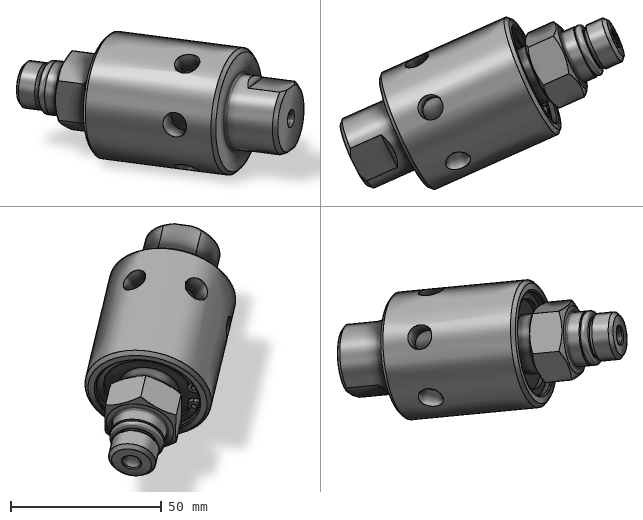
import cadquery as cq
import math

TOTAL_LENGTH = 96.1

BORE_DIA = 6.0
BORE_MOUTH_DIA = 6.8
THREAD_DIA = 16.0
THREAD_CHAMFER = 1.25
THREAD_END = 8.5
RELIEF_DIA = 13.2
COLLAR_DIA = 18.3
COLLAR_START = 11.15
SEAL_SECTION_DIA = 2.6

HEX_START = 15.9
HEX_END = 28.0
HEX_FLATS = 23.9
HEX_FACE_DIA = 22.8
HEX_CHAMFER_ANGLE = 30.0
SHANK_DIA = 20.0
HEX_COVE_RADIUS = 0.5

BARREL_DIA = 42.8
BARREL_START = 29.7
BARREL_END = 77.5
BARREL_CHAMFER = 1.25

RECESS_DIA = 35.1
RECESS_CHAMFER = 0.5
GROOVE_DIA = 37.2
RING_THICKNESS = 1.5
RECESS_FLOOR = 33.4
RING_START = RECESS_FLOOR - RING_THICKNESS
RING_INNER_DIA = 30.5
RING_GAP = 4.7
LUG_RADIUS = 2.3
LUG_OFFSET = 15.4
LUG_HOLE_DIA = 2.0

RADIAL_HOLE_DIA = 8.5
RADIAL_HOLE_X = 63.15
RADIAL_HOLE_COUNT = 6
RADIAL_HOLE_FLOOR_DIA = 28.1

NECK_DIA = 25.4
NECK_COVE_RADIUS = 0.9
NECK_CHAMFER = 1.3
FLATS_WIDTH = 21.9
FLATS_START = 83.4


def cylinder(diameter, start, end):
    """Solid cylinder on the X axis from x = start to x = end."""
    return cq.Workplane("YZ", origin=(start, 0, 0)).circle(diameter / 2).extrude(end - start)


def cone(start_dia, end_dia, start, end):
    """Solid truncated cone on the X axis."""
    return (
        cq.Workplane("YZ", origin=(start, 0, 0))
        .circle(start_dia / 2)
        .workplane(offset=end - start)
        .circle(end_dia / 2)
        .loft()
    )


def cove(face_x, diameter, radius, direction):
    """Concave fillet around a cylinder where it leaves a face, toward +X or -X (direction 1 or -1)."""
    tangent_x = face_x + direction * radius
    surface = diameter / 2
    return (
        cq.Workplane("XY")
        .moveTo(face_x, 0)
        .lineTo(face_x, surface + radius)
        .radiusArc((tangent_x, surface), -direction * radius)
        .lineTo(tangent_x, 0)
        .close()
        .revolve(360, (0, 0, 0), (1, 0, 0))
    )


def make_threaded_end():
    rear_chamfer = (THREAD_DIA - RELIEF_DIA) / 2
    thread = cylinder(THREAD_DIA, 0, THREAD_END)
    thread = thread.faces("<X").chamfer(THREAD_CHAMFER)
    thread = thread.faces(">X").chamfer(rear_chamfer)
    relief = cylinder(RELIEF_DIA, THREAD_END, COLLAR_START)
    collar = cylinder(COLLAR_DIA, COLLAR_START, HEX_START)
    return thread.union(relief).union(collar)


def make_seal_ring():
    """Round bead in the relief, flush with the collar and resting on its face."""
    section_radius = SEAL_SECTION_DIA / 2
    return (
        cq.Workplane("XY")
        .moveTo(COLLAR_START - section_radius, COLLAR_DIA / 2 - section_radius)
        .circle(section_radius)
        .revolve(360, (0, 0, 0), (1, 0, 0))
    )


def make_hexagon():
    """Hexagon with corners on +-Z, its corners turned off by a cone at both ends."""
    corner_dia = HEX_FLATS / math.cos(math.pi / 6)
    length = HEX_END - HEX_START
    prism = (
        cq.Workplane("YZ", origin=(HEX_START, 0, 0))
        .transformed(rotate=(0, 0, 90))
        .polygon(6, corner_dia)
        .extrude(length)
    )
    radial = (corner_dia - HEX_FACE_DIA) / 2
    axial = radial * math.tan(math.radians(HEX_CHAMFER_ANGLE))
    envelope = (
        cq.Workplane("XY")
        .moveTo(HEX_START, 0)
        .lineTo(HEX_START, HEX_FACE_DIA / 2)
        .lineTo(HEX_START + axial, corner_dia / 2)
        .lineTo(HEX_END - axial, corner_dia / 2)
        .lineTo(HEX_END, HEX_FACE_DIA / 2)
        .lineTo(HEX_END, 0)
        .close()
        .revolve(360, (0, 0, 0), (1, 0, 0))
    )
    return prism.intersect(envelope)


def make_hexagon_coves():
    front = cove(HEX_START, COLLAR_DIA, HEX_COVE_RADIUS, -1)
    rear = cove(HEX_END, SHANK_DIA, HEX_COVE_RADIUS, 1)
    return front.union(rear)


def make_barrel():
    barrel = cylinder(BARREL_DIA, BARREL_START, BARREL_END).faces("<X or >X").chamfer(BARREL_CHAMFER)
    recess = cylinder(RECESS_DIA, BARREL_START, RECESS_FLOOR)
    groove = cylinder(GROOVE_DIA, RING_START, RECESS_FLOOR)
    recess_mouth = cone(
        RECESS_DIA + 2 * RECESS_CHAMFER, RECESS_DIA, BARREL_START, BARREL_START + RECESS_CHAMFER
    )
    return barrel.cut(recess).cut(recess_mouth).cut(groove)


def make_neck():
    neck = cylinder(NECK_DIA, BARREL_END, TOTAL_LENGTH).faces(">X").chamfer(NECK_CHAMFER)
    run_out = NECK_DIA / 2 - FLATS_WIDTH / 2
    for side in (1, -1):
        cutter = (
            cq.Workplane("XZ", origin=(0, NECK_DIA / 2, 0))
            .moveTo(FLATS_START, side * FLATS_WIDTH / 2)
            .lineTo(TOTAL_LENGTH, side * FLATS_WIDTH / 2)
            .lineTo(TOTAL_LENGTH, side * NECK_DIA / 2)
            .lineTo(FLATS_START - run_out, side * NECK_DIA / 2)
            .close()
            .extrude(NECK_DIA)
        )
        neck = neck.cut(cutter)
    return neck


def make_radial_holes():
    """Cutter for the radial holes, which end on a cylinder around the axis."""
    core = cylinder(RADIAL_HOLE_FLOOR_DIA, BARREL_START, BARREL_END)
    hole = (
        cq.Workplane("XZ", origin=(RADIAL_HOLE_X, 0, 0))
        .circle(RADIAL_HOLE_DIA / 2)
        .extrude(BARREL_DIA / 2)
        .cut(core)
    )
    holes = cq.Workplane("XY")
    for index in range(RADIAL_HOLE_COUNT):
        angle = index * 360 / RADIAL_HOLE_COUNT
        holes = holes.add(hole.rotate((0, 0, 0), (1, 0, 0), angle))
    return holes.combine()


def make_bore():
    mouth_depth = (BORE_MOUTH_DIA - BORE_DIA) / 2
    mouth = cone(BORE_MOUTH_DIA, BORE_DIA, 0, mouth_depth)
    return cylinder(BORE_DIA, 0, TOTAL_LENGTH).union(mouth)


def make_housing():
    sections = [
        make_threaded_end(),
        make_seal_ring(),
        make_hexagon(),
        make_hexagon_coves(),
        cylinder(SHANK_DIA, HEX_END, RECESS_FLOOR),
        make_neck(),
        cove(BARREL_END, NECK_DIA, NECK_COVE_RADIUS, 1),
    ]
    housing = make_barrel()
    for section in sections:
        housing = housing.union(section)
    return housing.cut(make_radial_holes()).cut(make_bore())


def make_retaining_ring():
    """Open ring with a gap on -Y and a drilled lug on each side of the gap."""
    lug_z = RING_GAP / 2 + LUG_RADIUS
    lug_centres = [(-LUG_OFFSET, lug_z), (-LUG_OFFSET, -lug_z)]
    plane = cq.Workplane("YZ", origin=(RING_START, 0, 0))
    ring = plane.circle(GROOVE_DIA / 2).circle(RING_INNER_DIA / 2).extrude(RING_THICKNESS)
    lugs = plane.pushPoints(lug_centres).circle(LUG_RADIUS).extrude(RING_THICKNESS)
    gap = plane.center(-GROOVE_DIA / 2, 0).rect(GROOVE_DIA, RING_GAP).extrude(RING_THICKNESS)
    lug_holes = plane.pushPoints(lug_centres).circle(LUG_HOLE_DIA / 2).extrude(RING_THICKNESS)
    return ring.union(lugs).cut(gap).cut(lug_holes)


housing = make_housing()
retaining_ring = make_retaining_ring()

result = cq.Compound.makeCompound([housing.val(), retaining_ring.val()])